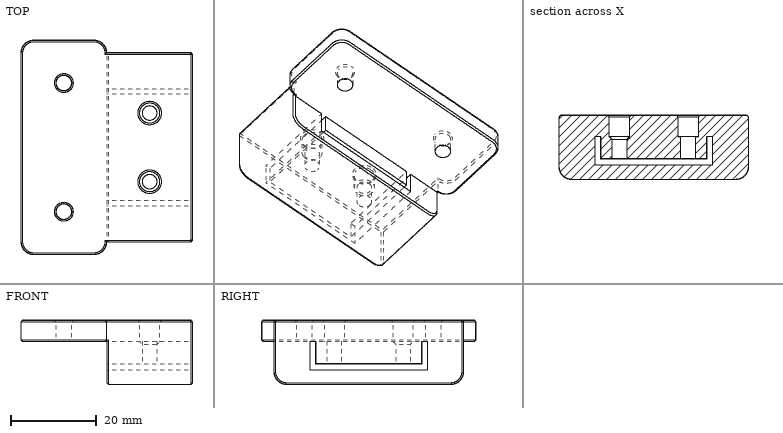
import cadquery as cq

length_x = 40
plate_width = 50
height = 15

plate_length = length_x / 2
plate_thickness = 5
plate_base = height - plate_thickness
corner_radius = 3

block_length = length_x - plate_length
block_width = 44.2
edge_chamfer = 0.4

channel_width = 27.3
channel_floor = 3.4
tongue_width = 24.8
tongue_base = 4.8

plate_hole_diameter = 3.6
plate_hole_spacing = 30
screw_hole_diameter = 3.4
screw_head_diameter = 4.7
screw_head_depth = 5
screw_spacing = 16


def centred_box(x_start, x_end, width, z_start, z_end):
    """Box centred on Y between the given X and Z limits."""
    size_x = x_end - x_start
    size_z = z_end - z_start
    box = cq.Workplane().box(size_x, width, size_z, centered=(False, True, False))
    return box.translate((x_start, 0, z_start))


def make_plate():
    plate = centred_box(0, plate_length, plate_width, plate_base, height)
    plate = plate.edges("|Z").fillet(corner_radius)
    return plate.faces("<Z").chamfer(edge_chamfer)


def make_block():
    block = centred_box(plate_length, length_x, block_width, 0, height)
    block = block.edges("|X and <Z").fillet(corner_radius)
    return block.faces("<X or >X").edges("not >Z").chamfer(edge_chamfer)


def make_joint():
    """Fill the chamfered seam where the plate runs into the block."""
    x_start = plate_length - edge_chamfer
    x_end = plate_length + edge_chamfer
    above = centred_box(x_start, x_end, block_width, plate_base + edge_chamfer, height)
    below = centred_box(plate_length - 2 * edge_chamfer, x_end, block_width - 2 * edge_chamfer,
                        plate_base, height)
    return above.union(below)


def cut_channel(body):
    channel = centred_box(plate_length, length_x, channel_width, channel_floor, plate_base)
    tongue = centred_box(plate_length, length_x, tongue_width, tongue_base, plate_base)
    return body.cut(channel.cut(tongue))


def hole_cutter(x, y, diameter, depth):
    """Straight hole from the top face downwards."""
    return cq.Workplane(origin=(x, y, height - depth)).circle(diameter / 2).extrude(depth)


def mouth_cutter(x, y, diameter):
    """Conical chamfer around the mouth of a hole in the top face."""
    base_radius = diameter / 2
    cone = cq.Solid.makeCone(base_radius, base_radius + edge_chamfer, edge_chamfer,
                             pnt=cq.Vector(x, y, height - edge_chamfer))
    return cq.Workplane(cone)


def seat_cutter(x, y):
    """45-degree cone narrowing from the screw head bore to the screw hole."""
    hole_radius = screw_hole_diameter / 2
    head_radius = screw_head_diameter / 2
    cone_depth = head_radius - hole_radius
    cone_base = cq.Vector(x, y, height - screw_head_depth - cone_depth)
    return cq.Workplane(cq.Solid.makeCone(hole_radius, head_radius, cone_depth, pnt=cone_base))


def cut_holes(body):
    plate_hole_x = plate_length / 2
    screw_x = plate_length + block_length / 2
    for side in (-1, 1):
        plate_hole_y = side * plate_hole_spacing / 2
        body = body.cut(hole_cutter(plate_hole_x, plate_hole_y, plate_hole_diameter, plate_thickness))
        body = body.cut(mouth_cutter(plate_hole_x, plate_hole_y, plate_hole_diameter))

        screw_y = side * screw_spacing / 2
        body = body.cut(hole_cutter(screw_x, screw_y, screw_hole_diameter, height - channel_floor))
        body = body.cut(hole_cutter(screw_x, screw_y, screw_head_diameter, screw_head_depth))
        body = body.cut(mouth_cutter(screw_x, screw_y, screw_head_diameter))

    return body.cut(seat_cutter(screw_x, screw_spacing / 2))


body = make_plate().union(make_block()).union(make_joint())
body = body.faces(">Z").chamfer(edge_chamfer)
result = cut_holes(cut_channel(body))